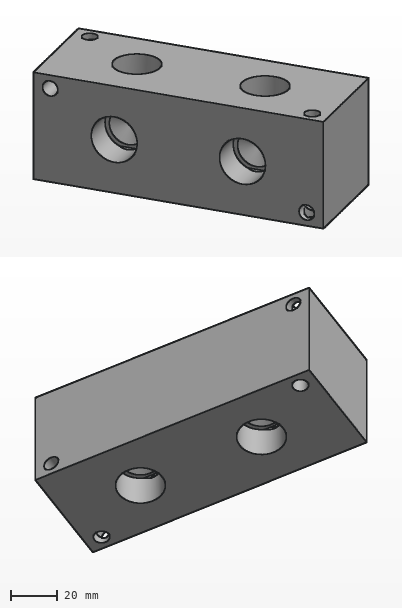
import cadquery as cq
import math

LENGTH = 136.525
SECTION = 50.8
FACE = SECTION / 2

PORT_SPACING = 60.325
PORT_DIAMETER = 21.59
PORT_DEPTH = 15.36
DRILL_DIAMETER = 17.48
DRILL_POINT_ANGLE = 120.0
DRILL_POINT_DEPTH = DRILL_DIAMETER / 2 / math.tan(math.radians(DRILL_POINT_ANGLE / 2))

MOUNT_DIAMETER = 7.14
MOUNT_SPACING_LENGTH = 120.65
MOUNT_SPACING_ACROSS = 38.1

FRONT = cq.Vector(0, -1, 0)
TOP = cq.Vector(0, 0, 1)
BOTTOM = cq.Vector(0, 0, -1)


def port(x, outward):
    """Cutter for one port at x, on the face that points outward."""
    inward = outward * -1
    mouth = cq.Vector(x, 0, 0) + outward * FACE
    floor = mouth + inward * PORT_DEPTH
    bore = cq.Solid.makeCylinder(PORT_DIAMETER / 2, PORT_DEPTH, mouth, inward)
    point = cq.Solid.makeCone(DRILL_DIAMETER / 2, 0, DRILL_POINT_DEPTH, floor, inward)
    return bore.fuse(point)


def mounting_hole(x, across, outward):
    """Cutter for one through hole starting at a corner of the face."""
    start = cq.Vector(x, 0, 0) + across + outward * FACE
    return cq.Solid.makeCylinder(MOUNT_DIAMETER / 2, SECTION, start, outward * -1)


block = cq.Workplane("XY").box(LENGTH, SECTION, SECTION)

for face_direction in (FRONT, TOP, BOTTOM):
    for side in (-1, 1):
        block = block.cut(cq.Workplane(port(side * PORT_SPACING / 2, face_direction)))

for face_direction, across_direction in ((FRONT, cq.Vector(0, 0, 1)), (TOP, cq.Vector(0, 1, 0))):
    for side in (-1, 1):
        hole_x = side * MOUNT_SPACING_LENGTH / 2
        hole_across = across_direction * (-side * MOUNT_SPACING_ACROSS / 2)
        block = block.cut(cq.Workplane(mounting_hole(hole_x, hole_across, face_direction)))

result = block